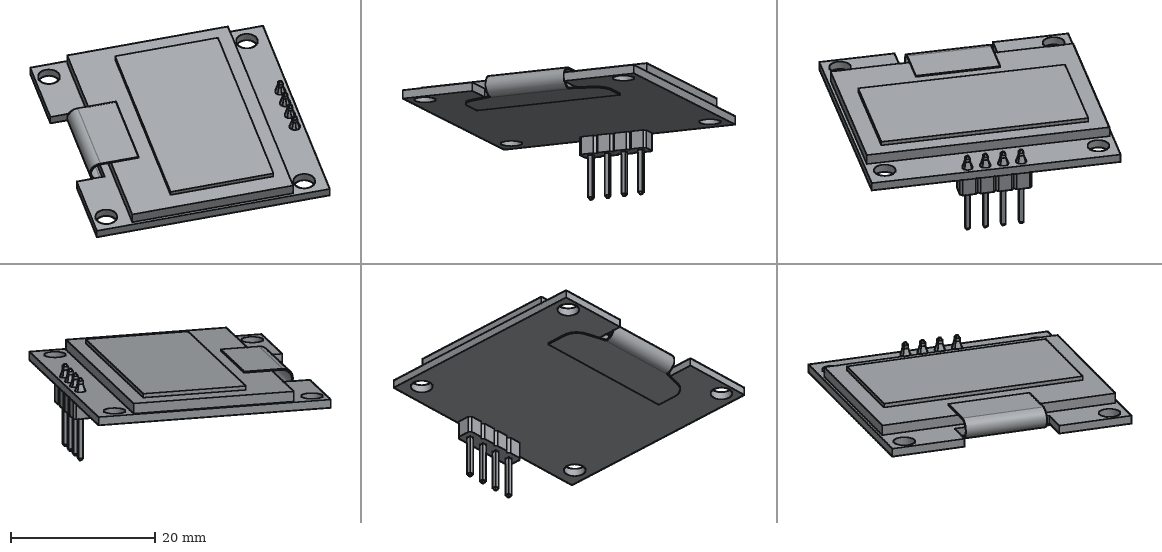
import cadquery as cq


BOARD_LENGTH = 35.4
BOARD_WIDTH = 33.5
BOARD_THICKNESS = 1.2
BOARD_FRONT = -BOARD_WIDTH / 2
BOARD_BACK = BOARD_WIDTH / 2

MOUNT_HOLE_DIAMETER = 3.0
MOUNT_HOLE_SIDE_MARGIN = 2.5
MOUNT_HOLE_FRONT_MARGIN = 2.02
MOUNT_HOLE_BACK_MARGIN = 3.0

NOTCH_WIDTH = 14.0
NOTCH_DEPTH = 4.0

GLASS_LENGTH = 34.5
GLASS_WIDTH = 23.1
GLASS_THICKNESS = 1.45
GLASS_BACK_MARGIN = 5.17
GLASS_CENTER_Y = BOARD_BACK - GLASS_BACK_MARGIN - GLASS_WIDTH / 2

SCREEN_LENGTH = 29.4
SCREEN_WIDTH = 14.8
SCREEN_THICKNESS = 0.55
SCREEN_BACK_MARGIN = 7.3
SCREEN_CENTER_Y = BOARD_BACK - SCREEN_BACK_MARGIN - SCREEN_WIDTH / 2

FLEX_THICKNESS = 0.202
FLEX_WIDTH = 12.0
FLEX_BEND_START_Y = -13.1
FLEX_TOP_LENGTH = 5.52
FLEX_RECESS_DEPTH = 0.042
TAIL_WIDTH = 21.95
TAIL_LENGTH = 6.4
TAIL_SHOULDER_LENGTH = 1.4
TAIL_SHOULDER_RADIUS = 2.48
FLEX_SEAT = GLASS_THICKNESS - FLEX_RECESS_DEPTH
FLEX_TOP = FLEX_SEAT + FLEX_THICKNESS
FLEX_BOTTOM = -BOARD_THICKNESS - FLEX_THICKNESS
BEND_OUTER_RADIUS = (FLEX_TOP - FLEX_BOTTOM) / 2
BEND_INNER_RADIUS = BEND_OUTER_RADIUS - FLEX_THICKNESS
BEND_CENTER_Z = (FLEX_TOP + FLEX_BOTTOM) / 2

PIN_COUNT = 4
PIN_PITCH = 2.55
PIN_BACK_MARGIN = 1.27
PIN_Y = BOARD_BACK - PIN_BACK_MARGIN
PIN_SIDE = 0.65
PIN_HOLE_DIAMETER = 1.0
PIN_TOP = 1.85
PIN_BOTTOM = -10.02
PIN_TIP_LENGTH = 0.35
PIN_TIP_SIDE = 0.2
SOLDER_DIAMETER = 1.5
SOLDER_HEIGHT = 1.03
HEADER_HEIGHT = 2.5
HEADER_CHAMFER = 0.35

PIN_XS = [(i - (PIN_COUNT - 1) / 2) * PIN_PITCH for i in range(PIN_COUNT)]


def plate(length, width, thickness, center_y, bottom):
    """Rectangular plate centred on X, with its lower face at the given height."""
    return cq.Workplane("XY").box(length, width, thickness, centered=(True, True, False)).translate(
        (0, center_y, bottom)
    )


def make_board():
    """Board with a notch in its front edge, four mounting holes and a row of pin holes."""
    board = plate(BOARD_LENGTH, BOARD_WIDTH, BOARD_THICKNESS, 0, -BOARD_THICKNESS)
    notch = plate(NOTCH_WIDTH, 2 * NOTCH_DEPTH, BOARD_THICKNESS, BOARD_FRONT, -BOARD_THICKNESS)
    mount_x = BOARD_LENGTH / 2 - MOUNT_HOLE_SIDE_MARGIN
    mount_ys = (BOARD_FRONT + MOUNT_HOLE_FRONT_MARGIN, BOARD_BACK - MOUNT_HOLE_BACK_MARGIN)
    mount_points = [(x, y) for x in (-mount_x, mount_x) for y in mount_ys]
    pin_points = [(x, PIN_Y) for x in PIN_XS]
    mount_holes = cq.Workplane("XY").pushPoints(mount_points).circle(MOUNT_HOLE_DIAMETER / 2)
    pin_holes = cq.Workplane("XY").pushPoints(pin_points).circle(PIN_HOLE_DIAMETER / 2)
    return (
        board.cut(notch)
        .cut(mount_holes.extrude(-BOARD_THICKNESS))
        .cut(pin_holes.extrude(-BOARD_THICKNESS))
    )


def make_flex_top_sheet():
    """Flat end of the flex cable, partly sunk into the glass."""
    center_y = FLEX_BEND_START_Y + FLEX_TOP_LENGTH / 2
    return plate(FLEX_WIDTH, FLEX_TOP_LENGTH, FLEX_THICKNESS, center_y, FLEX_SEAT)


def make_display():
    """Glass with the raised screen on top and the recess that seats the flex cable."""
    glass = plate(GLASS_LENGTH, GLASS_WIDTH, GLASS_THICKNESS, GLASS_CENTER_Y, 0)
    screen = plate(SCREEN_LENGTH, SCREEN_WIDTH, SCREEN_THICKNESS, SCREEN_CENTER_Y, GLASS_THICKNESS)
    return glass.union(screen).cut(make_flex_top_sheet())


def make_flex():
    """Top sheet, half-round bend and a wider tail with rounded, sloping shoulders."""
    top_sheet = make_flex_top_sheet()
    bend = (
        cq.Workplane("YZ", origin=(-FLEX_WIDTH / 2, FLEX_BEND_START_Y, BEND_CENTER_Z))
        .moveTo(0, BEND_OUTER_RADIUS)
        .threePointArc((-BEND_OUTER_RADIUS, 0), (0, -BEND_OUTER_RADIUS))
        .lineTo(0, -BEND_INNER_RADIUS)
        .threePointArc((-BEND_INNER_RADIUS, 0), (0, BEND_INNER_RADIUS))
        .close()
        .extrude(FLEX_WIDTH)
    )
    shoulder_y = FLEX_BEND_START_Y + TAIL_SHOULDER_LENGTH
    tail_end_y = FLEX_BEND_START_Y + TAIL_LENGTH
    tail = (
        cq.Workplane("XY", origin=(0, 0, FLEX_BOTTOM))
        .polyline([
            (-FLEX_WIDTH / 2, FLEX_BEND_START_Y),
            (FLEX_WIDTH / 2, FLEX_BEND_START_Y),
            (TAIL_WIDTH / 2, shoulder_y),
            (TAIL_WIDTH / 2, tail_end_y),
            (-TAIL_WIDTH / 2, tail_end_y),
            (-TAIL_WIDTH / 2, shoulder_y),
        ])
        .close()
        .extrude(FLEX_THICKNESS)
    )
    shoulder_corners = [
        cq.selectors.NearestToPointSelector((x, shoulder_y, FLEX_BOTTOM + FLEX_THICKNESS / 2))
        for x in (-TAIL_WIDTH / 2, TAIL_WIDTH / 2)
    ]
    tail = tail.edges(cq.selectors.SumSelector(*shoulder_corners)).fillet(TAIL_SHOULDER_RADIUS)
    return top_sheet.union(bend).union(tail)


def make_header():
    """Plastic strip of touching blocks with chamfered upright edges and a square hole for each pin."""
    header = None
    for x in PIN_XS:
        block = (
            cq.Workplane("XY", origin=(x, PIN_Y, -BOARD_THICKNESS))
            .rect(PIN_PITCH, PIN_PITCH)
            .extrude(-HEADER_HEIGHT)
            .edges("|Z")
            .chamfer(HEADER_CHAMFER)
        )
        header = block if header is None else header.union(block)
    holes = cq.Workplane("XY", origin=(0, PIN_Y, -BOARD_THICKNESS)).pushPoints([(x, 0) for x in PIN_XS])
    return header.cut(holes.rect(PIN_SIDE, PIN_SIDE).extrude(-HEADER_HEIGHT))


def make_pin_tip(x, start, direction):
    """Tapered pin end that starts at a height and points up (1) or down (-1)."""
    return (
        cq.Workplane("XY", origin=(x, PIN_Y, start))
        .rect(PIN_SIDE, PIN_SIDE)
        .workplane(offset=direction * PIN_TIP_LENGTH)
        .rect(PIN_TIP_SIDE, PIN_TIP_SIDE)
        .loft(ruled=True)
    )


def make_pin(x):
    """Square pin with tapered tips and a solder fillet running from a round base to its sides."""
    shaft_top = PIN_TOP - PIN_TIP_LENGTH
    shaft_bottom = PIN_BOTTOM + PIN_TIP_LENGTH
    shaft = (
        cq.Workplane("XY", origin=(x, PIN_Y, shaft_bottom))
        .rect(PIN_SIDE, PIN_SIDE)
        .extrude(shaft_top - shaft_bottom)
    )
    solder = (
        cq.Workplane("XY", origin=(x, PIN_Y, 0))
        .circle(SOLDER_DIAMETER / 2)
        .workplane(offset=SOLDER_HEIGHT)
        .rect(PIN_SIDE, PIN_SIDE)
        .loft(ruled=True)
    )
    top_tip = make_pin_tip(x, shaft_top, 1)
    bottom_tip = make_pin_tip(x, shaft_bottom, -1)
    return shaft.union(top_tip).union(bottom_tip).union(solder)


board = make_board()
display = make_display()
flex = make_flex()
header = make_header()
pins = [make_pin(x) for x in PIN_XS]

result = cq.Compound.makeCompound(
    [board.val(), display.val(), flex.val(), header.val(), *[pin.val() for pin in pins]]
)